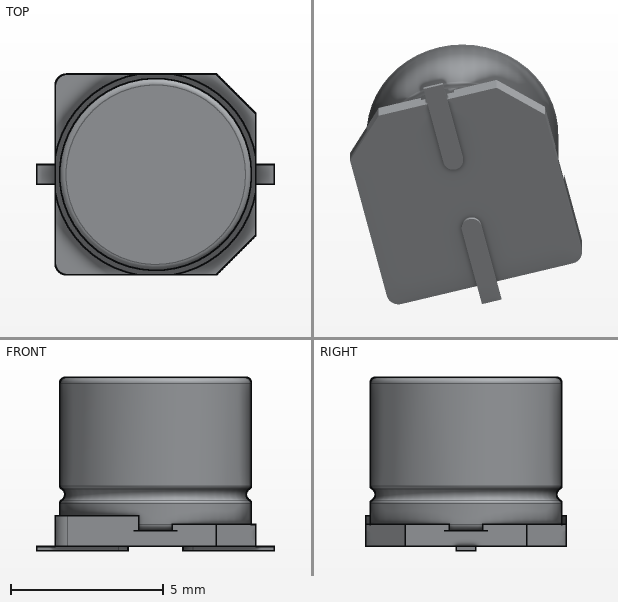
import cadquery as cq
import math

overall_length = 7.8
lead_width = 0.655
lead_thickness = 0.15
lead_gap = 1.8

base_side = 6.6
base_height = 1.01
corner_radius = 0.4
corner_chamfer = 1.3
low_step_drop = 0.29
recess_diameter = 6.69
recess_depth = 0.49

overall_height = 5.7
can_diameter = 6.3
can_edge_radius = 0.2
groove_center_z = 1.85
groove_arc_radius = 0.22
groove_lip_radius = 0.12
groove_arc_angle = math.radians(60)

base_top = lead_thickness + base_height
recess_floor = base_top - recess_depth
can_radius = can_diameter / 2
recess_opening_half = ((recess_diameter / 2) ** 2 - (base_side / 2) ** 2) ** 0.5


def make_base():
    base = cq.Workplane("XY").workplane(offset=lead_thickness).rect(base_side, base_side).extrude(base_height)
    base = base.edges("|Z and <X").fillet(corner_radius)
    base = base.edges("|Z and >X").chamfer(corner_chamfer)

    step = (
        cq.Workplane("XY")
        .workplane(offset=base_top - low_step_drop)
        .center(base_side / 2 - recess_opening_half, 0)
        .rect(base_side, base_side)
        .extrude(low_step_drop)
    )
    recess = cq.Workplane("XY").workplane(offset=recess_floor).circle(recess_diameter / 2).extrude(recess_depth)
    return base.cut(step).cut(recess)


def make_can():
    can = cq.Workplane("XY").workplane(offset=recess_floor).circle(can_radius)
    can = can.extrude(overall_height - recess_floor)
    can = can.faces("<Z or >Z").edges().fillet(can_edge_radius)

    return can.cut(make_groove())


def make_groove():
    """Concave arc, joined tangentially to the can wall by a convex lip above and below."""
    throat_half_height = groove_arc_radius * math.sin(groove_arc_angle)
    half_height = throat_half_height + groove_lip_radius * math.sin(groove_arc_angle)
    throat_radius = can_radius - groove_lip_radius * (1 - math.cos(groove_arc_angle))
    floor_radius = throat_radius - groove_arc_radius * (1 - math.cos(groove_arc_angle))
    lip_middle_radius = can_radius - groove_lip_radius * (1 - math.cos(groove_arc_angle / 2))
    lip_middle_height = half_height - groove_lip_radius * math.sin(groove_arc_angle / 2)
    return (
        cq.Workplane("XZ", origin=(0, 0, groove_center_z))
        .moveTo(can_radius, -half_height)
        .threePointArc((lip_middle_radius, -lip_middle_height), (throat_radius, -throat_half_height))
        .threePointArc((floor_radius, 0), (throat_radius, throat_half_height))
        .threePointArc((lip_middle_radius, lip_middle_height), (can_radius, half_height))
        .close()
        .revolve(360, (0, 0, 0), (0, 1, 0))
    )


def make_lead(side):
    outer_x = side * overall_length / 2
    tip_x = side * lead_gap / 2
    round_x = tip_x + side * lead_width / 2
    return (
        cq.Workplane("XY")
        .moveTo(outer_x, -lead_width / 2)
        .lineTo(round_x, -lead_width / 2)
        .threePointArc((tip_x, 0), (round_x, lead_width / 2))
        .lineTo(outer_x, lead_width / 2)
        .close()
        .extrude(lead_thickness)
    )


result = make_base().union(make_can())
for side in (-1, 1):
    result = result.union(make_lead(side))